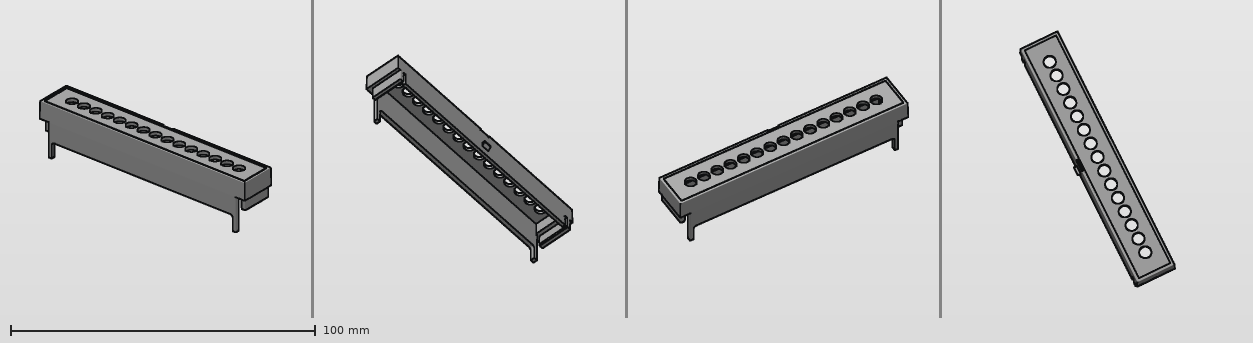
import cadquery as cq
import math

cap_length = 87.3
cap_width = 13.8
cap_height = 6.6
draft_angle = 1.0
top_edge_radius = 0.1
draft_inset = cap_height * math.tan(math.radians(draft_angle))
cap_back = cap_width / 2
cap_front = -cap_width / 2

rim_width = 1.05
panel_depth = 0.2
panel_length = cap_length - 2 * (draft_inset + rim_width)
panel_width = cap_width - 2 * (draft_inset + rim_width)

hole_count = 15
hole_diameter = 4.0
hole_span = 71.1
hole_pitch = hole_span / (hole_count - 1)

panel_thickness = 1.4
cavity_height = cap_height - panel_depth - panel_thickness
cavity_length = 78.75
front_wall = 1.6
cap_back_wall = 1.6

total_height = 19.8
leg_bottom = cap_height - total_height
skirt_length = 79.8
skirt_drop = 7.2
leg_width = 1.4
leg_root_radius = 1.05

tab_drop = 4.7
back_skirt_wall = 1.2
tab_thickness = 1.7
tab_inset = 1.1
tab_front_gap = 1.7
tab_chamfer_width = 0.3
tab_chamfer_height = 0.7
corner_radius = 0.3

hook_width = 3.0
hook_reach = 1.05
hook_tip = 0.35
hook_height = 1.75
notch_width = 4.1
notch_floor_depth = 0.5
notch_top_depth = 0.8
notch_height = 0.5


def box(length, y_min, y_max, z_min, z_max):
    """Box centred on X = 0."""
    return (
        cq.Workplane("XY")
        .box(length, y_max - y_min, z_max - z_min, centered=(True, False, False))
        .translate((0, y_min, z_min))
    )


def make_notch():
    """Notch open to the top and back, with a sloping inner face."""
    return (
        cq.Workplane("YZ", origin=(-notch_width / 2, 0, 0))
        .moveTo(cap_back, cap_height)
        .lineTo(cap_back - notch_top_depth, cap_height)
        .lineTo(cap_back - notch_floor_depth, cap_height - notch_height)
        .lineTo(cap_back, cap_height - notch_height)
        .close()
        .extrude(notch_width)
    )


def make_cap():
    cap = cq.Workplane("XY").rect(cap_length, cap_width).extrude(cap_height, taper=draft_angle)
    cap = cap.faces(">Z").edges().fillet(top_edge_radius)
    panel = box(panel_length, -panel_width / 2, panel_width / 2, cap_height - panel_depth, cap_height)
    cavity = box(cavity_length, cap_front + front_wall, cap_back - cap_back_wall, 0, cavity_height)
    holes = (
        cq.Workplane("XY")
        .rarray(hole_pitch, 0.9, hole_count, 1)
        .circle(hole_diameter / 2)
        .extrude(cap_height)
    )
    return cap.cut(panel).cut(cavity).cut(make_notch()).cut(holes)


def make_front_skirt():
    skirt = box(skirt_length, cap_front, cap_front + front_wall, leg_bottom, 0)
    skirt = skirt.edges("|Z and <Y").fillet(corner_radius)
    gap = box(skirt_length - 2 * leg_width, cap_front, cap_front + front_wall, leg_bottom, -skirt_drop)
    gap = gap.edges("|Y and >Z").fillet(leg_root_radius)
    return skirt.cut(gap)


def make_back_skirt():
    return box(skirt_length, cap_back - back_skirt_wall, cap_back, -tab_drop, 0)


def make_end_tab():
    """Tab under the -X end, with its lower inner edge chamfered."""
    outer = tab_inset - cap_length / 2
    inner = outer + tab_thickness
    tab = (
        cq.Workplane("XZ", origin=(0, cap_back, 0))
        .moveTo(outer, 0)
        .lineTo(outer, -tab_drop)
        .lineTo(inner - tab_chamfer_width, -tab_drop)
        .lineTo(inner, tab_chamfer_height - tab_drop)
        .lineTo(inner, 0)
        .close()
        .extrude(cap_width - tab_front_gap)
    )
    return tab.edges("|Z and <X").fillet(corner_radius)


def make_hook():
    return (
        cq.Workplane("YZ", origin=(-hook_width / 2, 0, 0))
        .moveTo(cap_back - back_skirt_wall, 0)
        .lineTo(cap_back + hook_reach, 0)
        .lineTo(cap_back + hook_reach, -hook_tip)
        .lineTo(cap_back, -hook_height)
        .lineTo(cap_back - back_skirt_wall, -hook_height)
        .close()
        .extrude(hook_width)
    )


end_tab = make_end_tab()
result = (
    make_cap()
    .union(make_front_skirt())
    .union(make_back_skirt())
    .union(end_tab)
    .union(end_tab.mirror("YZ"))
    .union(make_hook())
)